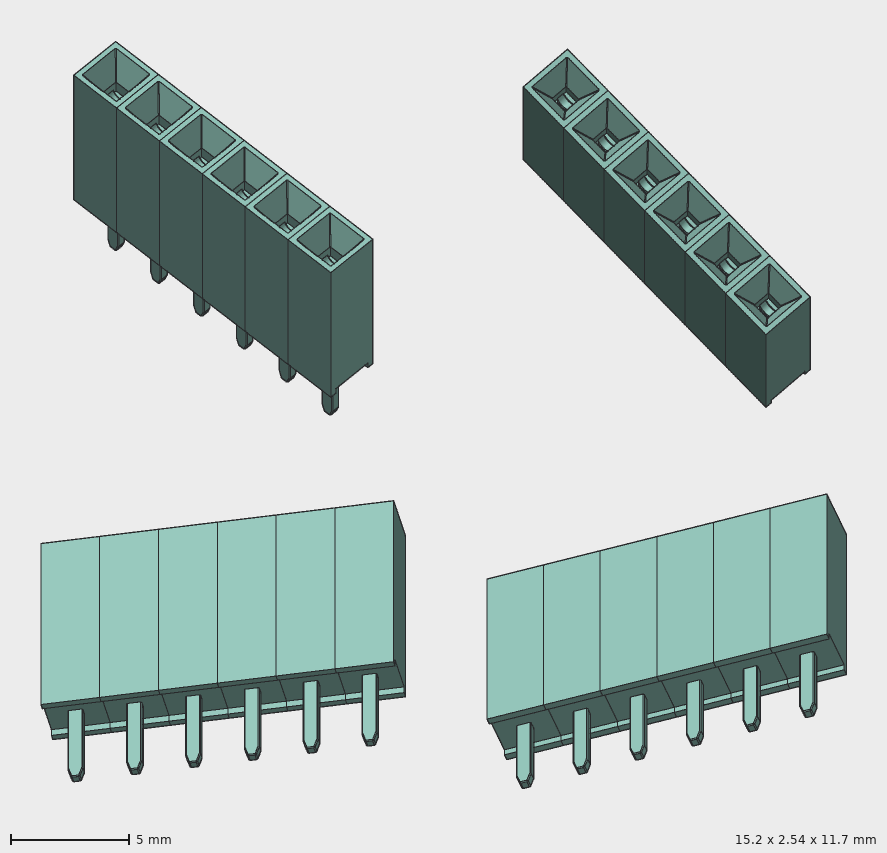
import cadquery as cq

position_count = 6
row_length = 15.24
pitch = row_length / position_count

housing_height = 8.5
housing_bottom = 0.0
housing_top = housing_bottom + housing_height

foot_width = 0.3
foot_height = 0.3
channel_width = pitch - 2 * foot_width
channel_roof = housing_bottom + foot_height

funnel_mouth = 2.04
well_width = 0.81
funnel_depth = 1.22
well_depth = 0.61
funnel_corner_bevel = 0.03
well_top = housing_top - funnel_depth
well_floor = well_top - well_depth

pin_width = 0.65
pin_thickness = 0.43
pin_length = 3.2
pin_bottom = housing_bottom - pin_length
pin_edge_bevel = 0.05
tip_height = 0.43
tip_width = 0.37

saddle_height = 0.34
saddle_sag = 0.27
pin_top = well_floor + saddle_height


def make_housing():
    """Block with the channel across its underside and the socket in its top."""
    block = (
        cq.Workplane("XY")
        .workplane(offset=housing_bottom)
        .rect(pitch, pitch)
        .extrude(housing_height)
    )
    channel = (
        cq.Workplane("XY")
        .workplane(offset=housing_bottom)
        .rect(pitch, channel_width)
        .extrude(foot_height)
    )
    funnel = (
        cq.Workplane("XY")
        .workplane(offset=housing_top)
        .rect(funnel_mouth, funnel_mouth)
        .workplane(offset=-funnel_depth)
        .rect(well_width, well_width)
        .loft(ruled=True)
        .edges("not #Z")
        .chamfer(funnel_corner_bevel)
    )
    well = (
        cq.Workplane("XY")
        .workplane(offset=well_floor)
        .rect(well_width, well_width)
        .extrude(well_depth)
    )
    return block.cut(channel).cut(funnel).cut(well)


def make_pin():
    """Flat pin with a wedge tip, a hollowed upper end and bevelled edges."""
    half_width = pin_width / 2
    half_tip = tip_width / 2
    shoulder = pin_bottom + tip_height
    blade = (
        cq.Workplane("XZ")
        .moveTo(-half_tip, pin_bottom)
        .lineTo(half_tip, pin_bottom)
        .lineTo(half_width, shoulder)
        .lineTo(half_width, pin_top)
        .threePointArc((0, pin_top - saddle_sag), (-half_width, pin_top))
        .lineTo(-half_width, shoulder)
        .close()
        .extrude(pin_thickness / 2, both=True)
    )
    return blade.faces("<Y or >Y or <Z").edges().chamfer(pin_edge_bevel)


def make_position():
    """One connector position: housing and pin in one piece."""
    return make_housing().union(make_pin())


position = make_position()
first_x = (pitch - row_length) / 2
positions = [position.translate((first_x + i * pitch, 0, 0)) for i in range(position_count)]

result = cq.Compound.makeCompound([body.val() for body in positions])